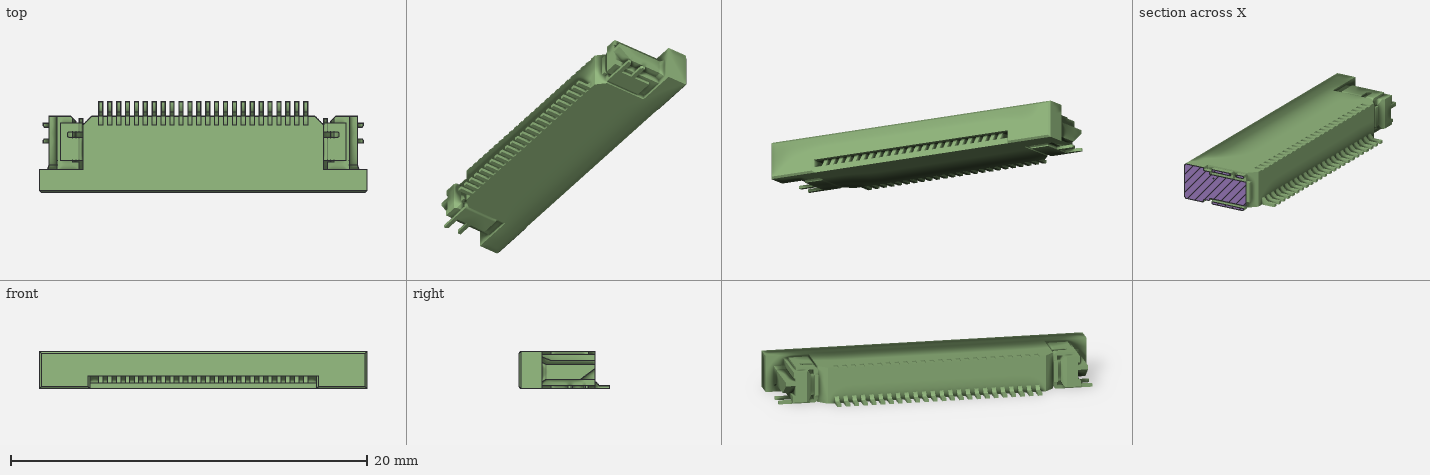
import cadquery as cq
import math

WIDTH = 18.4
HEIGHT = 2.1
PIN_END_Y = 5.1
BAR_DEPTH = 1.29
BODY_BACK_Y = 4.29
FRONT_CHAMFER = 0.11

PIN_COUNT = 24
PIN_ROW_LENGTH = 11.5
PIN_PITCH = PIN_ROW_LENGTH / (PIN_COUNT - 1)
PIN_WIDTH = 0.24
PIN_THICKNESS = 0.17
PIN_ROOT_HEIGHT = 0.4
PIN_SLOT_FRONT_Y = 3.77
PIN_SLOT_DEPTH = 0.05

MOUTH_HALF_WIDTH = 6.35
MOUTH_TAPER = 0.13
MOUTH_TOP_Z = 0.72
LIP_TOP_Z = 0.31
MOUTH_RAMP_LENGTH = 1.1
CONTACT_RAMP_LENGTH = 0.28

BODY_HALF_WIDTH = 6.75
BODY_CORNER_CHAMFER = 0.5
GROOVE_WIDTH = 0.22
GROOVE_BACK_Y = 4.14

EAR_INNER_X = BODY_HALF_WIDTH + GROOVE_WIDTH
EAR_BLOCK_X = 8.2
EAR_NECK_X = 8.1
EAR_BASE_X = 8.25
EAR_PLATE_X = 8.67
PAD_THICKNESS = 0.17
EAR_BOTTOM_Z = PAD_THICKNESS
EAR_TOP_Z = HEIGHT - PAD_THICKNESS
OVERHANG_Z = 1.58
PLATE_TOP_Z = 1.36
PLATE_BOTTOM_Z = 0.52
OVERHANG_RISE = 0.2
OVERHANG_RISE_LENGTH = 0.52
PLATE_CUT_LENGTH = 0.83
PLATE_CUT_HEIGHT = 0.63

CHANNEL_OUTER_X = 7.15
CHANNEL_FRONT_Y = 1.7
CHANNEL_EDGE_RUN = 0.18
CHANNEL_DEPTH = 0.3
GROOVE_DEPTH = PAD_THICKNESS + CHANNEL_DEPTH
EAR_CORNER_CHAMFER = 0.3

FLARE_BACK_Y = 1.53
FLARE_RISE = 0.13
FLARE_DROP = 0.15
FLARE_SPREAD = 0.07

PAD_OUTER_X = 8.0
PAD_FRONT_Y = 1.8
PAD_BACK_Y = 3.9
PAD_SLOT_Y = 3.24
PAD_SLOT_WIDTH = 0.33
PAD_SLOT_END_X = 7.64
PAD_SLOT_CHAMFER = 0.1

TAB_END_X = 9.0
TAB_WIDTH = 0.24
TAB_CHAMFER = 0.1
REAR_TAB_Y = 3.77
FRONT_TAB_Y = 2.89


def box(x_range, y_range, z_range):
    """Box spanning the given (low, high) ranges."""
    sizes = [high - low for low, high in (x_range, y_range, z_range)]
    corner = (x_range[0], y_range[0], z_range[0])
    return cq.Workplane("XY").box(*sizes, centered=False).translate(corner)


def extrude_along_x(yz_points, x_center, width):
    """Prism with a YZ outline, centred on x_center."""
    prism = cq.Workplane("YZ").polyline(yz_points).close().extrude(width / 2, both=True)
    return prism.translate((x_center, 0, 0))


def extrude_along_y(xz_points, y_front, y_back):
    """Prism with an XZ outline between two Y positions."""
    plane = cq.Workplane("XZ", origin=(0, y_front, 0))
    return plane.polyline(xz_points).close().extrude(y_front - y_back)


def extrude_up(xy_points, z_bottom, z_top):
    """Prism with an XY outline between two heights."""
    plane = cq.Workplane("XY", origin=(0, 0, z_bottom))
    return plane.polyline(xy_points).close().extrude(z_top - z_bottom)


def mirrored_pair(solid):
    """The solid together with its mirror image across the middle plane."""
    return solid.union(solid.mirror("YZ"))


def front_bar():
    bar = box((-WIDTH / 2, WIDTH / 2), (0, BAR_DEPTH), (0, HEIGHT))
    return bar.faces("<Y").edges().chamfer(FRONT_CHAMFER)


def central_body():
    chamfer_x = BODY_HALF_WIDTH - BODY_CORNER_CHAMFER
    chamfer_y = BODY_BACK_Y - BODY_CORNER_CHAMFER
    half_outline = [
        (0, BAR_DEPTH),
        (BODY_HALF_WIDTH, BAR_DEPTH),
        (BODY_HALF_WIDTH, chamfer_y),
        (chamfer_x, BODY_BACK_Y),
        (0, BODY_BACK_Y),
    ]
    return mirrored_pair(extrude_up(half_outline, 0, HEIGHT))


def groove_web():
    """Floor of the groove beside the body, wider where it also fills the channel."""
    z_range = (GROOVE_DEPTH, HEIGHT - GROOVE_DEPTH)
    groove_floor = box((BODY_HALF_WIDTH, EAR_INNER_X), (BAR_DEPTH, GROOVE_BACK_Y), z_range)
    channel_floor = box((EAR_INNER_X, CHANNEL_OUTER_X), (CHANNEL_FRONT_Y, PAD_BACK_Y), z_range)
    return groove_floor.union(channel_floor)


def ear_block():
    """Ear whose top overhangs a narrow neck above the wider side plate."""
    outline = [
        (EAR_INNER_X, EAR_BOTTOM_Z),
        (EAR_BASE_X, EAR_BOTTOM_Z),
        (EAR_BASE_X, PLATE_BOTTOM_Z),
        (EAR_PLATE_X, PLATE_BOTTOM_Z),
        (EAR_PLATE_X, PLATE_TOP_Z),
        (EAR_NECK_X, PLATE_TOP_Z),
        (EAR_NECK_X, OVERHANG_Z),
        (EAR_BLOCK_X, OVERHANG_Z),
        (EAR_BLOCK_X, EAR_TOP_Z),
        (EAR_INNER_X, EAR_TOP_Z),
    ]
    block = extrude_along_y(outline, BAR_DEPTH, BODY_BACK_Y)
    return block.cut(overhang_relief()).cut(plate_corner()).cut(channel())


def overhang_relief():
    """Underside of the overhang, sloping up towards the bar."""
    outline = [
        (BAR_DEPTH, OVERHANG_Z),
        (BAR_DEPTH, OVERHANG_Z + OVERHANG_RISE),
        (BAR_DEPTH + OVERHANG_RISE_LENGTH, OVERHANG_Z),
    ]
    width = EAR_BLOCK_X - EAR_NECK_X
    return extrude_along_x(outline, EAR_NECK_X + width / 2, width)


def plate_corner():
    """Sloping corner removed from the lower back end of the side plate."""
    outline = [
        (BODY_BACK_Y, PLATE_BOTTOM_Z),
        (BODY_BACK_Y, PLATE_BOTTOM_Z + PLATE_CUT_HEIGHT),
        (BODY_BACK_Y - PLATE_CUT_LENGTH, PLATE_BOTTOM_Z),
    ]
    thickness = EAR_PLATE_X - EAR_NECK_X
    return extrude_along_x(outline, EAR_NECK_X + thickness / 2, thickness)


def channel():
    """Through channel with sloping outer edges and a cut-off back corner."""
    chamfer_x = CHANNEL_OUTER_X + CHANNEL_EDGE_RUN
    section = [
        (EAR_INNER_X, EAR_BOTTOM_Z),
        (chamfer_x, EAR_BOTTOM_Z),
        (CHANNEL_OUTER_X, EAR_BOTTOM_Z + CHANNEL_DEPTH),
        (CHANNEL_OUTER_X, EAR_TOP_Z - CHANNEL_DEPTH),
        (chamfer_x, EAR_TOP_Z),
        (EAR_INNER_X, EAR_TOP_Z),
    ]
    corner = [
        (CHANNEL_OUTER_X, BODY_BACK_Y - EAR_CORNER_CHAMFER),
        (CHANNEL_OUTER_X + EAR_CORNER_CHAMFER, BODY_BACK_Y),
        (CHANNEL_OUTER_X, BODY_BACK_Y),
    ]
    passage = extrude_along_y(section, CHANNEL_FRONT_Y, BODY_BACK_Y)
    return passage.union(extrude_up(corner, 0, HEIGHT))


def plate_flare():
    """Side plate growing outwards, up and down towards the bar."""
    bar_section = [
        (EAR_NECK_X, PLATE_TOP_Z + FLARE_RISE),
        (EAR_PLATE_X + FLARE_SPREAD, PLATE_TOP_Z + FLARE_RISE),
        (EAR_PLATE_X + FLARE_SPREAD, PLATE_BOTTOM_Z - FLARE_DROP),
        (EAR_NECK_X, PLATE_BOTTOM_Z - FLARE_DROP),
    ]
    plate_section = [
        (EAR_NECK_X, PLATE_TOP_Z),
        (EAR_PLATE_X, PLATE_TOP_Z),
        (EAR_PLATE_X, PLATE_BOTTOM_Z),
        (EAR_NECK_X, PLATE_BOTTOM_Z),
    ]
    start = cq.Workplane("XZ", origin=(0, BAR_DEPTH, 0)).polyline(bar_section).close()
    end = start.workplane(offset=BAR_DEPTH - FLARE_BACK_Y).polyline(plate_section).close()
    return end.loft(ruled=True)


def ear_pads():
    """Strip over the top and bottom of the ear, rounded down into the groove, slotted on top."""
    edge_run = GROOVE_WIDTH * math.sqrt(0.5)
    arc_middle = (EAR_INNER_X - edge_run, HEIGHT - GROOVE_WIDTH + edge_run)
    top_section = (
        cq.Workplane("XZ", origin=(0, PAD_FRONT_Y, 0))
        .moveTo(PAD_OUTER_X, EAR_TOP_Z)
        .lineTo(PAD_OUTER_X, HEIGHT)
        .lineTo(EAR_INNER_X, HEIGHT)
        .threePointArc(arc_middle, (BODY_HALF_WIDTH, HEIGHT - GROOVE_WIDTH))
        .lineTo(BODY_HALF_WIDTH, HEIGHT - GROOVE_DEPTH)
        .lineTo(EAR_INNER_X, HEIGHT - GROOVE_DEPTH)
        .lineTo(EAR_INNER_X, EAR_TOP_Z)
        .close()
    )
    top_pad = top_section.extrude(PAD_FRONT_Y - PAD_BACK_Y)
    bottom_pad = top_pad.mirror("XY").translate((0, 0, HEIGHT))
    half_slot = PAD_SLOT_WIDTH / 2
    slot = box(
        (BODY_HALF_WIDTH, PAD_SLOT_END_X),
        (PAD_SLOT_Y - half_slot, PAD_SLOT_Y + half_slot),
        (HEIGHT - GROOVE_DEPTH, HEIGHT),
    )
    slot = slot.edges("|Z and >X").chamfer(PAD_SLOT_CHAMFER)
    return top_pad.cut(slot).union(bottom_pad)


def solder_tab(y_center, chamfered_side):
    """Flat tab with one end corner cut off, on the given Y side (+1 or -1)."""
    cut_y = y_center + chamfered_side * TAB_WIDTH / 2
    square_y = y_center - chamfered_side * TAB_WIDTH / 2
    outline = [
        (EAR_INNER_X, square_y),
        (TAB_END_X, square_y),
        (TAB_END_X, cut_y - chamfered_side * TAB_CHAMFER),
        (TAB_END_X - TAB_CHAMFER, cut_y),
        (EAR_INNER_X, cut_y),
    ]
    return extrude_up(outline, 0, PAD_THICKNESS)


def ear():
    solid = ear_block().union(groove_web()).union(plate_flare()).union(ear_pads())
    return solid.union(solder_tab(REAR_TAB_Y, -1)).union(solder_tab(FRONT_TAB_Y, 1))


def mouth():
    """Wedge opening above the lip, with its side walls widening at the front."""
    outer_half = MOUTH_HALF_WIDTH + MOUTH_TAPER
    entry_outline = [
        (-outer_half, 0),
        (outer_half, 0),
        (MOUTH_HALF_WIDTH, FRONT_CHAMFER),
        (-MOUTH_HALF_WIDTH, FRONT_CHAMFER),
    ]
    entry = extrude_up(entry_outline, 0, MOUTH_TOP_Z)
    wedge_outline = [
        (FRONT_CHAMFER, LIP_TOP_Z),
        (FRONT_CHAMFER + MOUTH_RAMP_LENGTH, MOUTH_TOP_Z),
        (FRONT_CHAMFER, MOUTH_TOP_Z),
    ]
    return entry.union(extrude_along_x(wedge_outline, 0, 2 * MOUTH_HALF_WIDTH))


def contact(x_center):
    """Contact standing above the mouth ramp, with a steeper front."""
    outline = [
        (FRONT_CHAMFER, LIP_TOP_Z),
        (FRONT_CHAMFER + CONTACT_RAMP_LENGTH, MOUTH_TOP_Z),
        (FRONT_CHAMFER + MOUTH_RAMP_LENGTH, MOUTH_TOP_Z),
    ]
    return extrude_along_x(outline, x_center, PIN_WIDTH)


def pin_slot(x_center):
    """Shallow slot in the top of the body above a pin, open at the back."""
    half_width = PIN_WIDTH / 2
    return box(
        (x_center - half_width, x_center + half_width),
        (PIN_SLOT_FRONT_Y, BODY_BACK_Y),
        (HEIGHT - PIN_SLOT_DEPTH, HEIGHT),
    )


def pin(x_center):
    """Solder pin with a sloping root behind the body."""
    slope_end_y = BODY_BACK_Y + PIN_ROOT_HEIGHT - PIN_THICKNESS
    outline = [
        (BODY_BACK_Y, 0),
        (PIN_END_Y, 0),
        (PIN_END_Y, PIN_THICKNESS),
        (slope_end_y, PIN_THICKNESS),
        (BODY_BACK_Y, PIN_ROOT_HEIGHT),
    ]
    return extrude_along_x(outline, x_center, PIN_WIDTH)


def repeated(feature):
    """One copy of the feature at every pin position."""
    first_x = -PIN_ROW_LENGTH / 2
    copies = cq.Workplane("XY")
    for index in range(PIN_COUNT):
        copies = copies.add(feature(first_x + index * PIN_PITCH))
    return copies.combine()


housing = front_bar().union(central_body()).union(mirrored_pair(ear()))
housing = housing.cut(mouth()).cut(repeated(pin_slot))
result = housing.union(repeated(contact)).union(repeated(pin))